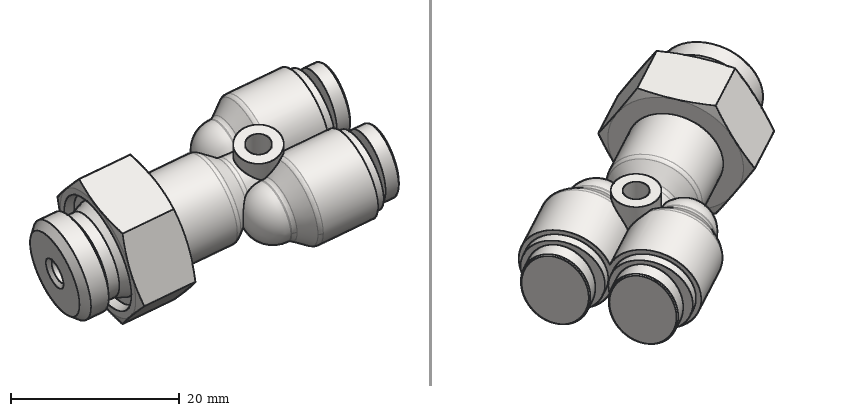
import cadquery as cq
import math


hex_start = 6.0
hex_length = 8.0
hex_end = hex_start + hex_length
branch_end = 38.0
collar_length = 1.18
collar_end = branch_end + collar_length
cap_start = 40.03
overall_length = 42.0

thread_diameter = 13.15
thread_chamfer_length = 1.0
thread_runout_start = 3.5
thread_runout_length = 0.5
undercut_diameter = 11.2
undercut_start = thread_runout_start + thread_runout_length
undercut_end = 5.55
flare_diameter = 12.55
hex_flats = 17.0
hex_corners = hex_flats / math.cos(math.radians(30))
hex_chamfer_depth = 0.4
recess_floor_diameter = 14.57
recess_mouth_diameter = 15.15
recess_depth = 1.18
bore_diameter = 3.0
bore_mouth_diameter = 4.0

barrel_diameter = 12.0
branch_diameter = 11.9
branch_spacing = 11.0
branch_positions = (-branch_spacing / 2, branch_spacing / 2)
neck_diameter = 8.02
taper_length = 2.5
taper_fillet = 1.0
barrel_taper_start = 22.05
branch_taper_end = 27.45
branch_taper_start = branch_taper_end + taper_length
branch_ball_center = 27.0

eye_diameter = 6.0
eye_hole_diameter = 3.2
eye_height = barrel_diameter
eye_center = 28.4

collar_diameter = 10.6
sleeve_neck_diameter = 5.5
cap_width = 8.75
cap_height = 10.8
cap_chamfer = 0.15


def revolve_about_y(profile):
    """Close a profile of (radius, y) points and turn it about the Y axis."""
    return profile.close().revolve(360, (0, 0, 0), (0, 1, 0))


def cylinder_along_y(diameter, start, end, x):
    """Cylinder parallel to Y between two Y positions."""
    plane = cq.Plane(origin=(x, start, 0), xDir=(1, 0, 0), normal=(0, 1, 0))
    return cq.Workplane(plane).circle(diameter / 2).extrude(end - start)


def make_hexagon():
    """Hexagon with flats facing +Z and -Z and its corners turned off at both ends."""
    plane = cq.Plane(origin=(0, hex_start, 0), xDir=(1, 0, 0), normal=(0, 1, 0))
    prism = cq.Workplane(plane).polygon(6, hex_corners).extrude(hex_length)
    corner_turning = revolve_about_y(
        cq.Workplane("XY").polyline([
            (0, hex_start),
            (hex_flats / 2, hex_start),
            (hex_corners / 2, hex_start + hex_chamfer_depth),
            (hex_corners / 2, hex_end - hex_chamfer_depth),
            (hex_flats / 2, hex_end),
            (0, hex_end),
        ])
    )
    return prism.intersect(corner_turning)


def make_seal_recess():
    """Tapered recess in the hexagon face around the undercut."""
    return revolve_about_y(
        cq.Workplane("XY").polyline([
            (0, hex_start),
            (recess_mouth_diameter / 2, hex_start),
            (recess_floor_diameter / 2, hex_start + recess_depth),
            (0, hex_start + recess_depth),
        ])
    )


def make_thread():
    """Thread chamfered to the undercut diameter; the undercut flares out to the recess floor."""
    recess_floor = hex_start + recess_depth
    return revolve_about_y(
        cq.Workplane("XY").polyline([
            (0, 0),
            (undercut_diameter / 2, 0),
            (thread_diameter / 2, thread_chamfer_length),
            (thread_diameter / 2, thread_runout_start),
            (undercut_diameter / 2, undercut_start),
            (undercut_diameter / 2, undercut_end),
            (flare_diameter / 2, recess_floor),
            (0, recess_floor),
        ])
    )


def make_bore():
    """Through bore with a 45 degree countersink at the thread end."""
    bore_radius = bore_diameter / 2
    mouth_radius = bore_mouth_diameter / 2
    return revolve_about_y(
        cq.Workplane("XY").polyline([
            (0, 0),
            (mouth_radius, 0),
            (bore_radius, mouth_radius - bore_radius),
            (bore_radius, hex_end),
            (0, hex_end),
        ])
    )


def make_stud():
    """Hexagon and thread in one piece, bored through."""
    return make_hexagon().cut(make_seal_recess()).union(make_thread()).cut(make_bore())


def fillet_taper(turned_body, *edge_positions):
    """Round the circular edges at the given Y positions of a body turned about the Y axis."""
    for y in edge_positions:
        circle_center = cq.NearestToPointSelector((0, y, 0))
        turned_body = turned_body.edges(circle_center).fillet(taper_fillet)
    return turned_body


def make_barrel():
    """Central barrel that tapers to the neck running into the crotch."""
    barrel = revolve_about_y(
        cq.Workplane("XY").polyline([
            (0, hex_end),
            (barrel_diameter / 2, hex_end),
            (barrel_diameter / 2, barrel_taper_start),
            (neck_diameter / 2, barrel_taper_start + taper_length),
            (neck_diameter / 2, eye_center),
            (0, eye_center),
        ])
    )
    return fillet_taper(barrel, barrel_taper_start, barrel_taper_start + taper_length)


def make_branch(x):
    """Tube socket that tapers to a neck with a ball end."""
    neck_radius = neck_diameter / 2
    diagonal = neck_radius * math.sin(math.radians(45))
    branch = revolve_about_y(
        cq.Workplane("XY")
        .moveTo(0, branch_end)
        .lineTo(branch_diameter / 2, branch_end)
        .lineTo(branch_diameter / 2, branch_taper_start)
        .lineTo(neck_radius, branch_taper_end)
        .lineTo(neck_radius, branch_ball_center)
        .threePointArc(
            (diagonal, branch_ball_center - diagonal),
            (0, branch_ball_center - neck_radius),
        )
    )
    return fillet_taper(branch, branch_taper_start, branch_taper_end).translate((x, 0, 0))


def make_housing():
    """Barrel and two branches joined into a Y, with the mounting eye at their junction."""
    housing = make_barrel()
    for x in branch_positions:
        housing = housing.union(make_branch(x))
    eye_base = cq.Workplane("XY", origin=(0, eye_center, -eye_height / 2))
    eye = eye_base.circle(eye_diameter / 2).extrude(eye_height)
    eye_hole = eye_base.circle(eye_hole_diameter / 2).extrude(eye_height)
    return housing.union(eye).cut(eye_hole)


def make_collar(x):
    """Disc on the end of a branch, slightly smaller than the branch."""
    return cylinder_along_y(collar_diameter, branch_end, collar_end, x)


def make_sleeve(x):
    """Release sleeve: round neck under an oval push cap, taller than wide."""
    neck = cylinder_along_y(sleeve_neck_diameter, collar_end, cap_start, x)
    plane = cq.Plane(origin=(x, cap_start, 0), xDir=(1, 0, 0), normal=(0, 1, 0))
    cap = cq.Workplane(plane).ellipse(cap_width / 2, cap_height / 2).extrude(overall_length - cap_start)
    cap = cap.faces(">Y").chamfer(cap_chamfer)
    return neck.union(cap)


stud = make_stud()
housing = make_housing()
collars = [make_collar(x) for x in branch_positions]
sleeves = [make_sleeve(x) for x in branch_positions]

result = cq.Compound.makeCompound([
    stud.val(),
    housing.val(),
    *[collar.val() for collar in collars],
    *[sleeve.val() for sleeve in sleeves],
])